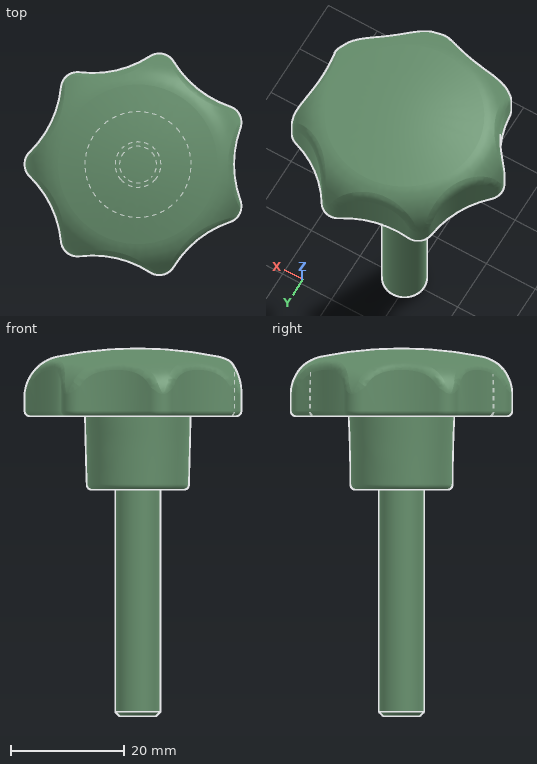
import cadquery as cq
import math


stud_length = 40.0
hub_height = 13.0
head_height = 12.0
head_base_z = hub_height
top_z = head_base_z + head_height

lobe_count = 7
lobe_pitch = 360 / lobe_count
first_lobe_angle = 180
lobe_tip_radius = 20.0
lobe_round_radius = 3.0
valley_radius = 17.0
base_edge_radius = 1.0
scallop_edge_radius = 1.95

cap_rim_radius = 14.1
cap_sag = 1.4
crown_margin = 0.03

hub_root_radius = 9.35
hub_end_radius = 9.05
hub_edge_radius = 1.0

stud_radius = 4.0
stud_chamfer = 0.8


def polar(radius, angle):
    """Point at a radius and an angle in degrees."""
    turn = math.radians(angle)
    return (radius * math.cos(turn), radius * math.sin(turn))


def star_prism():
    """Prism with rounded lobes joined tangentially by concave scallops."""
    half_pitch = lobe_pitch / 2
    lobe_center_radius = lobe_tip_radius - lobe_round_radius
    along, across = polar(lobe_center_radius, half_pitch)
    gap = valley_radius - along
    scallop_radius = (gap**2 + across**2 - lobe_round_radius**2) / (2 * (lobe_round_radius - gap))
    scallop_center = valley_radius + scallop_radius
    share = lobe_round_radius / (lobe_round_radius + scallop_radius)
    meet_x = along + share * (scallop_center - along)
    meet_y = across * (1 - share)
    meet_radius = math.hypot(meet_x, meet_y)
    meet_offset = half_pitch - math.degrees(math.atan2(meet_y, meet_x))

    outline = cq.Workplane("XY", origin=(0, 0, head_base_z))
    outline = outline.moveTo(*polar(meet_radius, first_lobe_angle - meet_offset))
    for index in range(lobe_count):
        lobe = first_lobe_angle + index * lobe_pitch
        outline = outline.threePointArc(
            polar(lobe_tip_radius, lobe),
            polar(meet_radius, lobe + meet_offset),
        )
        outline = outline.threePointArc(
            polar(valley_radius, lobe + half_pitch),
            polar(meet_radius, lobe + lobe_pitch - meet_offset),
        )
    return outline.close().extrude(head_height)


def crown():
    """Round envelope of the head: domed cap, rounded shoulder and straight wall."""
    wall_radius = lobe_tip_radius + crown_margin
    cap_radius = (cap_rim_radius**2 + cap_sag**2) / (2 * cap_sag)
    rim_angle = math.asin(cap_rim_radius / cap_radius)
    shoulder_radius = (wall_radius - cap_rim_radius) / (1 - math.sin(rim_angle))
    rim_z = top_z - cap_sag
    shoulder_x = wall_radius - shoulder_radius
    shoulder_z = rim_z - shoulder_radius * math.cos(rim_angle)
    cap_mid = (
        cap_radius * math.sin(rim_angle / 2),
        top_z - cap_radius * (1 - math.cos(rim_angle / 2)),
    )
    shoulder_mid_angle = (math.pi / 2 - rim_angle) / 2
    shoulder_mid = (
        shoulder_x + shoulder_radius * math.cos(shoulder_mid_angle),
        shoulder_z + shoulder_radius * math.sin(shoulder_mid_angle),
    )
    return (
        cq.Workplane("XZ")
        .moveTo(0, head_base_z)
        .lineTo(wall_radius, head_base_z)
        .lineTo(wall_radius, shoulder_z)
        .threePointArc(shoulder_mid, (cap_rim_radius, rim_z))
        .threePointArc(cap_mid, (0, top_z))
        .close()
        .revolve(360, (0, 0, 0), (0, 1, 0))
    )


def head():
    """Star-shaped head with rounded scallop rims and a rounded lower edge."""
    body = star_prism().intersect(crown())
    body = body.faces("<Z").edges().fillet(base_edge_radius)
    rims = [edge for edge in body.edges().vals() if edge.geomType() == "BSPLINE"]
    return body.newObject(rims).fillet(scallop_edge_radius)


def hub():
    """Slightly tapered hub, rounded at its free end."""
    return (
        cq.Workplane("XZ")
        .lineTo(hub_end_radius, 0)
        .lineTo(hub_root_radius, hub_height)
        .lineTo(0, hub_height)
        .close()
        .revolve(360, (0, 0, 0), (0, 1, 0))
        .faces("<Z")
        .edges()
        .fillet(hub_edge_radius)
    )


def make_knob():
    """Head and hub as one solid."""
    return head().union(hub())


def make_stud():
    """Plain round stud standing on the hub's end face, chamfered at its free end."""
    return (
        cq.Workplane("XY")
        .circle(stud_radius)
        .extrude(-stud_length)
        .faces("<Z")
        .chamfer(stud_chamfer)
    )


knob = make_knob()
stud = make_stud()
result = cq.Compound.makeCompound([knob.solids().val(), stud.solids().val()])